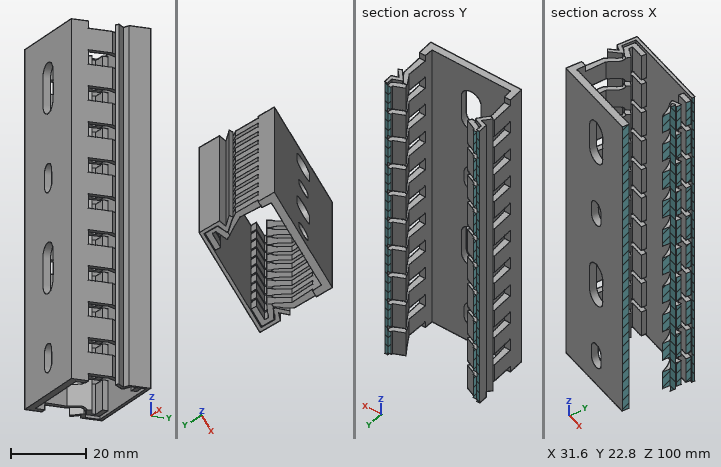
import cadquery as cq

LENGTH = 100.0
COVER_WIDTH = 31.6
DUCT_DEPTH = 22.8
CUT_MARGIN = 1.0

COVER_THICKNESS = 1.0
LIP_OUTER_Y = 16.5
LIP_INNER_Y = 17.5
LIP_VALLEY_X = 13.7
LIP_VALLEY_Y = 15.8
LIP_CREST_X = 12.1
LIP_CREST_TOP_Y = 16.4
LIP_CREST_BOTTOM_Y = 15.9
TAIL_OUTER_Y = 13.5
TAIL_END_X = 14.8
TAIL_END_Y = 12.9

BASE_WIDTH = 30.2
FLOOR_THICKNESS = 2.2
WALL_THICKNESS_AT_FLOOR = 2.1
WALL_THICKNESS_AT_BEND = 1.6
WALL_OUTER_BEND_Y = 11.9
WALL_INNER_BEND_Y = 11.6

NECK_CONTACT_Y = 14.2
HOOK_NOTCH_TOP_Y = 16.5
HOOK_TIP_X = 10.2
HOOK_TIP_Y = 17.4
HOOK_OUTER_Y = 17.9
HOOK_INNER_X = 13.6
HOOK_INNER_Y = 18.9
ARM_END_X = 9.3
ARM_THICKNESS = 1.6
ARM_TOP_GAP = 0.2

SLOT_PITCH = 10.0
SLOT_WIDTH = 4.0
SLOT_BOTTOM_Y = 5.0
SLOT_TOP_Y = 16.4
SLIT_WIDTH = 1.6

MOUNT_PITCH = 25.0
WIDE_MOUNT_FIRST_Z = 35.0
NARROW_MOUNT_FIRST_Z = 10.0
WIDE_MOUNT_SIZE = (14.2, 6.5)
NARROW_MOUNT_SIZE = (8.0, 4.7)


def symmetric_extrusion(right_half):
    """Extrude along Z the closed outline made of a +X half and its mirror image."""
    left_half = [(-x, y) for x, y in reversed(right_half)]
    return cq.Workplane("XY").polyline(right_half + left_half).close().extrude(LENGTH)


def make_cover():
    """Shallow cap whose sides bend inwards to a lip and flare out again into a tail."""
    outer_x = COVER_WIDTH / 2
    inner_x = outer_x - COVER_THICKNESS
    inner_y = DUCT_DEPTH - COVER_THICKNESS
    return symmetric_extrusion([
        (inner_x, inner_y),
        (inner_x, LIP_INNER_Y),
        (LIP_CREST_X, LIP_CREST_TOP_Y),
        (LIP_CREST_X, LIP_CREST_BOTTOM_Y),
        (TAIL_END_X, TAIL_END_Y),
        (outer_x, TAIL_OUTER_Y),
        (LIP_VALLEY_X, LIP_VALLEY_Y),
        (outer_x, LIP_OUTER_Y),
        (outer_x, DUCT_DEPTH),
    ])


def make_channel():
    """Uncut base: floor, two drafted walls, and a snap hook with an inward arm on each wall."""
    outer_x = BASE_WIDTH / 2
    hook_outer_x = COVER_WIDTH / 2 - COVER_THICKNESS
    arm_top_y = DUCT_DEPTH - COVER_THICKNESS - ARM_TOP_GAP
    arm_bottom_y = arm_top_y - ARM_THICKNESS
    tail_slope = (TAIL_END_X - LIP_CREST_X) / (LIP_CREST_BOTTOM_Y - TAIL_END_Y)
    neck_contact_x = LIP_CREST_X + tail_slope * (LIP_CREST_BOTTOM_Y - NECK_CONTACT_Y)
    return symmetric_extrusion([
        (outer_x, 0),
        (outer_x, WALL_OUTER_BEND_Y),
        (neck_contact_x, NECK_CONTACT_Y),
        (LIP_CREST_X, LIP_CREST_BOTTOM_Y),
        (LIP_CREST_X, HOOK_NOTCH_TOP_Y),
        (hook_outer_x, HOOK_OUTER_Y),
        (hook_outer_x, arm_top_y),
        (ARM_END_X, arm_top_y),
        (ARM_END_X, arm_bottom_y),
        (HOOK_INNER_X, arm_bottom_y),
        (HOOK_INNER_X, HOOK_INNER_Y),
        (HOOK_TIP_X, HOOK_TIP_Y),
        (outer_x - WALL_THICKNESS_AT_BEND, WALL_INNER_BEND_Y),
        (outer_x - WALL_THICKNESS_AT_FLOOR, FLOOR_THICKNESS),
    ])


def make_wiring_slot(z):
    """Round-topped slot with a slit above it, cut through both walls."""
    half_width = SLOT_WIDTH / 2
    half_slit = SLIT_WIDTH / 2
    cut_reach = BASE_WIDTH / 2 + CUT_MARGIN
    shoulder_y = SLOT_TOP_Y - half_width
    profile_plane = cq.Workplane("YZ", origin=(0, 0, z))
    slot = (
        profile_plane.moveTo(SLOT_BOTTOM_Y, -half_width)
        .lineTo(shoulder_y, -half_width)
        .threePointArc((SLOT_TOP_Y, 0), (shoulder_y, half_width))
        .lineTo(SLOT_BOTTOM_Y, half_width)
        .close()
        .extrude(cut_reach, both=True)
    )
    slit = (
        profile_plane.moveTo(shoulder_y, -half_slit)
        .lineTo(DUCT_DEPTH, -half_slit)
        .lineTo(DUCT_DEPTH, half_slit)
        .lineTo(shoulder_y, half_slit)
        .close()
        .extrude(cut_reach, both=True)
    )
    return slot.union(slit)


def make_mounting_slots(first_z, size):
    """Pair of upright slots through the floor, two mounting pitches apart."""
    length, width = size
    return (
        cq.Workplane("XZ", origin=(0, FLOOR_THICKNESS + CUT_MARGIN, 0))
        .pushPoints([(0, first_z), (0, first_z + 2 * MOUNT_PITCH)])
        .slot2D(length, width, 90)
        .extrude(FLOOR_THICKNESS + 2 * CUT_MARGIN)
    )


def make_base():
    base = make_channel()
    for index in range(round(LENGTH / SLOT_PITCH) + 1):
        base = base.cut(make_wiring_slot(index * SLOT_PITCH))
    base = base.cut(make_mounting_slots(WIDE_MOUNT_FIRST_Z, WIDE_MOUNT_SIZE))
    return base.cut(make_mounting_slots(NARROW_MOUNT_FIRST_Z, NARROW_MOUNT_SIZE))


base = make_base()
cover = make_cover()

result = cq.Compound.makeCompound([base.solids().val(), cover.val()])